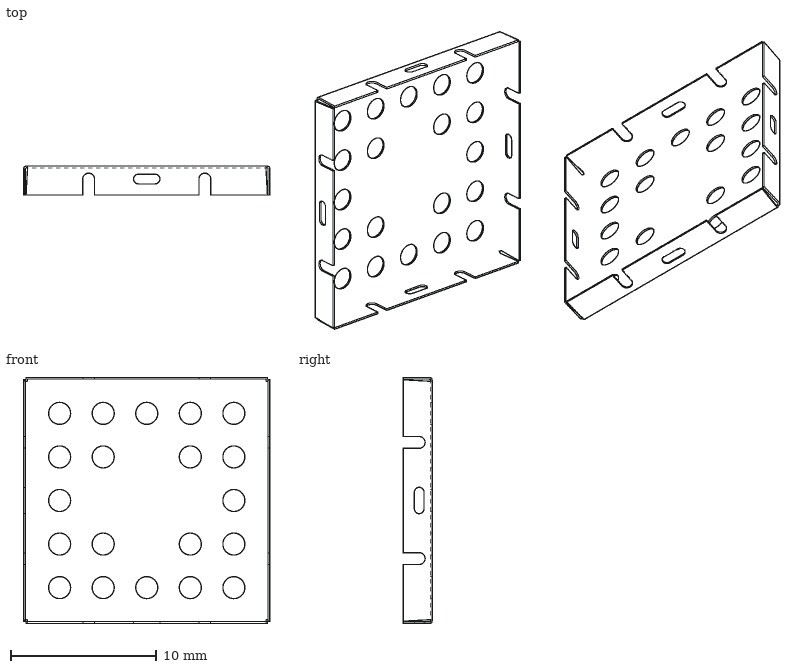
import cadquery as cq

outer_width = 16.96
height = 2.0
sheet = 0.13
inner_bend_radius = 0.07
outer_bend_radius = inner_bend_radius + sheet
half_width = outer_width / 2
half_height = height / 2

corner_inset_at_base = 0.26
corner_inset_at_rim = 0.16

hole_diameter = 1.5
hole_pitch = 3.0
grid_reach = 2

notch_width = 0.8
notch_spacing = 8.0
notch_top_below_base = 0.5
window_length = 1.8
window_width = 0.65
window_below_base = 0.9

SIDE_ANGLES = (0, 90, 180, 270)


def make_base():
    """Flat base between the bends, relieved at its corners, pierced by a grid of holes.

    The grid leaves out its central cross of five holes.
    """
    flat_width = outer_width - 2 * outer_bend_radius
    base = cq.Workplane("XY").box(flat_width, sheet, flat_width)
    corner_relief = corner_inset_at_base - outer_bend_radius
    reliefs = (
        cq.Workplane("XZ", origin=(0, sheet / 2, 0))
        .rect(flat_width, flat_width, forConstruction=True)
        .vertices()
        .rect(2 * corner_relief, 2 * corner_relief)
        .extrude(sheet)
    )
    base = base.cut(reliefs).translate((0, half_height - sheet / 2, 0))
    steps = range(-grid_reach, grid_reach + 1)
    centres = [
        (i * hole_pitch, k * hole_pitch)
        for i in steps
        for k in steps
        if abs(i) + abs(k) > 1
    ]
    holes = (
        cq.Workplane("XZ", origin=(0, half_height, 0))
        .pushPoints(centres)
        .circle(hole_diameter / 2)
        .extrude(sheet)
    )
    return base.cut(holes)


def bent_strip():
    """Bend and wall of the +Z side, swept over the full width of the can."""
    bend_y = half_height - outer_bend_radius
    bend_z = half_width - outer_bend_radius
    return (
        cq.Workplane("YZ", origin=(-half_width, 0, 0))
        .moveTo(half_height, bend_z)
        .radiusArc((bend_y, half_width), -outer_bend_radius)
        .lineTo(-half_height, half_width)
        .lineTo(-half_height, half_width - sheet)
        .lineTo(bend_y, half_width - sheet)
        .radiusArc((half_height - sheet, bend_z), inner_bend_radius)
        .close()
        .extrude(outer_width)
    )


def flange_outline():
    """Prism that trims the strip: narrower at the bend and wider toward the open rim."""
    bend_y = half_height - outer_bend_radius
    base_x = half_width - corner_inset_at_base
    rim_x = half_width - corner_inset_at_rim
    return (
        cq.Workplane("XY")
        .moveTo(-base_x, half_height)
        .lineTo(base_x, half_height)
        .lineTo(base_x, bend_y)
        .lineTo(rim_x, -half_height)
        .lineTo(-rim_x, -half_height)
        .lineTo(-base_x, bend_y)
        .close()
        .extrude(half_width)
    )


def flange_openings():
    """Two round-topped notches open at the rim and one closed window between them."""
    notch_radius = notch_width / 2
    arc_y = half_height - notch_top_below_base - notch_radius
    slot_length = arc_y + half_height + notch_width + notch_radius
    slot_y = arc_y + notch_radius - slot_length / 2
    notches = (
        cq.Workplane("XY")
        .pushPoints([(-notch_spacing / 2, slot_y), (notch_spacing / 2, slot_y)])
        .slot2D(slot_length, notch_width, 90)
        .extrude(half_width)
    )
    window = (
        cq.Workplane("XY")
        .center(0, half_height - window_below_base)
        .slot2D(window_length, window_width)
        .extrude(half_width)
    )
    return notches.union(window)


def make_flange():
    return bent_strip().intersect(flange_outline()).cut(flange_openings())


result = make_base()
flange = make_flange()
for angle in SIDE_ANGLES:
    result = result.union(flange.rotate((0, 0, 0), (0, 1, 0), angle))